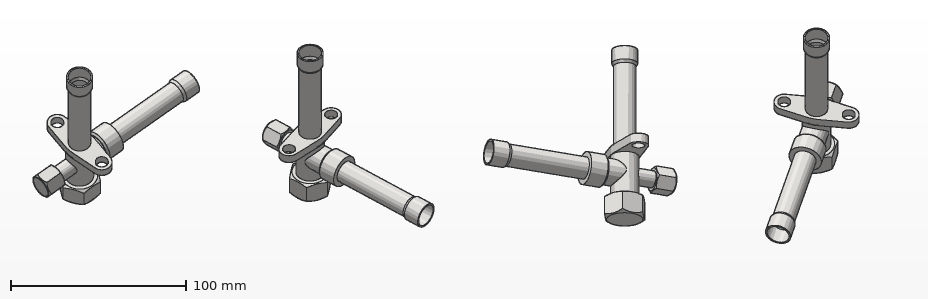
import cadquery as cq
import math


tube_diameter = 13.0
tube_bore = 11.0
socket_diameter = 15.0
socket_bore = 13.0
socket_cone_length = 1.7

upper_tube_end = 76.5
upper_socket_length = 8.3
rear_tube_end = 85.1
rear_socket_length = 9.8

body_diameter = 16.3
flange_top = 16.3
flange_thickness = 5.3
flange_length = 49.9
flange_width = 16.8
flange_side_radius = 25.3
flange_hole_spacing = 38.2
flange_hole_diameter = 7.4

nut_flats = 22.0
nut_bottom = -27.5
nut_top = -14.1
nut_face_diameter = 20.7
nut_bottom_chamfer = 1.7
nut_top_chamfer = 1.3

neck_diameter = 15.6
collar_diameter = 19.2
collar_start = 13.5
collar_end = 25.1
collar_chamfer = 1.3

stub_diameter = 10.0
cap_flats = 13.9
cap_face_diameter = 13.2
cap_inner_chamfer = 0.8
cap_outer_chamfer = 1.0
cap_disc_diameter = 12.8
cap_disc_thickness = 0.3
cap_inner_end = 17.4
cap_outer_end = 29.9

FRONT = cq.Plane(origin=(0, 0, 0), xDir=(1, 0, 0), normal=(0, -1, 0))
REAR = cq.Plane(origin=(0, 0, 0), xDir=(1, 0, 0), normal=(0, 1, 0))
UP = cq.Plane.XY()


def revolve_profile(points):
    """Revolve (radius, height) points about the Z axis."""
    return cq.Workplane("XZ").polyline(points).close().revolve(360, (0, 0, 0), (0, 1, 0))


def cylinder(plane, diameter, start, end):
    return cq.Workplane(plane).workplane(offset=start).circle(diameter / 2).extrude(end - start)


def socket_tube(start, floor, end, socket_length):
    """Upright tube, solid below the floor of its bore, with a widened open end."""
    cone_top = end - socket_length
    cone_bottom = cone_top - socket_cone_length
    return revolve_profile([
        (0, start),
        (tube_diameter / 2, start),
        (tube_diameter / 2, cone_bottom),
        (socket_diameter / 2, cone_top),
        (socket_diameter / 2, end),
        (socket_bore / 2, end),
        (socket_bore / 2, cone_top),
        (tube_bore / 2, cone_bottom),
        (tube_bore / 2, floor),
        (0, floor),
    ])


def chamfered_hexagon(flats, start, end, face_diameter, start_chamfer, end_chamfer):
    """Upright hexagon with corners on the X axis, both ends turned to a cone."""
    corners = flats / math.cos(math.pi / 6)
    hexagon = cq.Workplane("XY").workplane(offset=start).polygon(6, corners).extrude(end - start)
    turned_blank = revolve_profile([
        (0, start),
        (face_diameter / 2, start),
        (corners / 2, start + start_chamfer),
        (corners / 2, end - end_chamfer),
        (face_diameter / 2, end),
        (0, end),
    ])
    return hexagon.intersect(turned_blank)


def make_flange():
    """Plate bounded by two end arcs, two shallow side arcs and their common tangents."""
    hole_x = flange_hole_spacing / 2
    end_radius = flange_length / 2 - hole_x
    arc_center_y = flange_width / 2 - flange_side_radius
    center_distance = math.hypot(hole_x, arc_center_y)
    tilt = math.atan2(hole_x, -arc_center_y) - math.acos((flange_side_radius - end_radius) / center_distance)
    side_x = flange_side_radius * math.sin(tilt)
    side_y = arc_center_y + flange_side_radius * math.cos(tilt)
    end_x = hole_x + end_radius * math.sin(tilt)
    end_y = end_radius * math.cos(tilt)
    return (
        cq.Workplane("XY").workplane(offset=flange_top - flange_thickness)
        .moveTo(-side_x, side_y)
        .threePointArc((0, flange_width / 2), (side_x, side_y))
        .lineTo(end_x, end_y)
        .threePointArc((flange_length / 2, 0), (end_x, -end_y))
        .lineTo(side_x, -side_y)
        .threePointArc((0, -flange_width / 2), (-side_x, -side_y))
        .lineTo(-end_x, -end_y)
        .threePointArc((-flange_length / 2, 0), (-end_x, end_y))
        .close()
        .extrude(flange_thickness)
        .pushPoints([(-hole_x, 0), (hole_x, 0)])
        .circle(flange_hole_diameter / 2)
        .cutThruAll()
    )


def make_rear_branch():
    neck = cylinder(REAR, neck_diameter, 0, collar_start)
    collar = cylinder(REAR, collar_diameter, collar_start, collar_end).faces("<Y").chamfer(collar_chamfer)
    tube = socket_tube(collar_start, collar_end, rear_tube_end, rear_socket_length)
    return neck.union(collar).union(tube.rotate((0, 0, 0), (1, 0, 0), -90))


def make_front_branch():
    stub = cylinder(FRONT, stub_diameter, 0, cap_inner_end)
    hexagon_end = cap_outer_end - cap_disc_thickness
    cap = chamfered_hexagon(
        cap_flats, cap_inner_end, hexagon_end, cap_face_diameter, cap_inner_chamfer, cap_outer_chamfer
    )
    end_disc = cylinder(FRONT, cap_disc_diameter, hexagon_end, cap_outer_end)
    return stub.union(cap.rotate((0, 0, 0), (1, 0, 0), 90)).union(end_disc)


body = cylinder(UP, body_diameter, nut_top, flange_top)
upper_tube = socket_tube(0, flange_top, upper_tube_end, upper_socket_length)
nut = chamfered_hexagon(
    nut_flats, nut_bottom, nut_top, nut_face_diameter, nut_bottom_chamfer, nut_top_chamfer
)
nut = nut.rotate((0, 0, 0), (0, 0, 1), 90)

result = (
    body.union(make_flange())
    .union(make_rear_branch())
    .union(make_front_branch())
    .union(upper_tube)
    .union(nut)
)